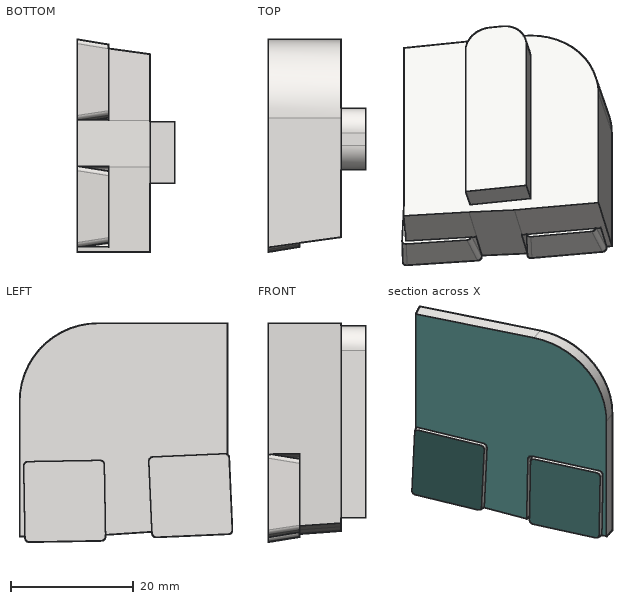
import cadquery as cq
import math


holder_thickness = 11.95
holder_depth = 34.0
rear_corner_radius = 12.8
front_relief = 1.65
bottom_relief = 0.9
rear_height = 34.87
rear_step = (14.0, 34.62)
front_step = (21.55, 34.1)
front_height = 33.47

key_thickness = 4.05
key_width = 10.1
key_rear_offset = 11.25
key_top = 0.4
key_bottom = 31.83
key_corner_radius = 4.0

insert_size = 13.17
insert_thickness = 5.15
insert_corner_radius = 0.7
insert_relief_angle = 9.0
insert_placements = [
    (7.37, 29.1, 1.0),
    (27.95, 28.17, 2.5),
]


def holder_outline(plane, front_setback, bottom_rise):
    """Outline of the block, with its front and bottom edges moved inward."""
    front = holder_depth - front_setback
    front_slope = (front_step[1] - front_height) / (holder_depth - front_step[0])
    front_bottom = front_height + front_slope * front_setback - bottom_rise
    arc_offset = rear_corner_radius * (1 - math.sqrt(0.5))
    return (
        plane.moveTo(-rear_corner_radius, 0)
        .lineTo(-front, 0)
        .lineTo(-front, -front_bottom)
        .lineTo(-front_step[0], bottom_rise - front_step[1])
        .lineTo(-rear_step[0], bottom_rise - rear_step[1])
        .lineTo(0, bottom_rise - rear_height)
        .lineTo(0, -rear_corner_radius)
        .threePointArc((-arc_offset, -arc_offset), (-rear_corner_radius, 0))
        .close()
    )


def make_block():
    cutting_side = holder_outline(cq.Workplane("YZ"), 0, 0)
    key_side_plane = cutting_side.workplane(offset=holder_thickness, origin=(0, 0, 0))
    return holder_outline(key_side_plane, front_relief, bottom_relief).loft(ruled=True)


def make_key():
    key_height = key_bottom - key_top
    key_center = (-key_rear_offset - key_width / 2, -(key_top + key_bottom) / 2)
    return (
        cq.Workplane("YZ", origin=(holder_thickness, 0, 0))
        .center(*key_center)
        .rect(key_width, key_height)
        .extrude(key_thickness)
        .edges("|X and >Z")
        .fillet(key_corner_radius)
    )


def insert_sketch(size):
    return cq.Sketch().rect(size, size).vertices().fillet(insert_corner_radius)


def place_insert_shape(shape, forward, down, tilt):
    """Tilt a centered shape about X and move it to its place on the holder."""
    return shape.rotate((0, 0, 0), (1, 0, 0), -tilt).translate((0, -forward, -down))


def make_insert(placement):
    """Insert that narrows away from its outer face for cutting clearance."""
    seat_inset = insert_thickness * math.tan(math.radians(insert_relief_angle))
    seat_sketch = insert_sketch(insert_size - 2 * seat_inset)
    insert = (
        cq.Workplane("YZ")
        .placeSketch(
            insert_sketch(insert_size),
            seat_sketch.moved(cq.Location(cq.Vector(0, 0, insert_thickness))),
        )
        .loft(ruled=True)
    )
    return place_insert_shape(insert, *placement)


def make_pocket(placement):
    """Straight-walled recess as wide as the insert's outer face."""
    pocket = cq.Workplane("YZ").placeSketch(insert_sketch(insert_size)).extrude(insert_thickness)
    return place_insert_shape(pocket, *placement)


holder = make_block().union(make_key())
for placement in insert_placements:
    holder = holder.cut(make_pocket(placement))

inserts = [make_insert(placement) for placement in insert_placements]

result = cq.Compound.makeCompound([holder.val(), *[insert.val() for insert in inserts]])